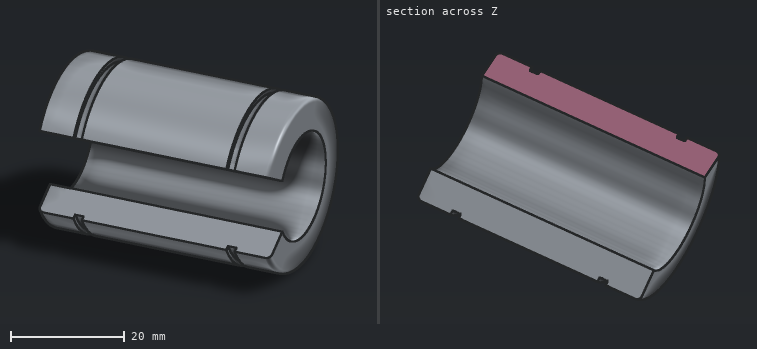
import cadquery as cq
import math

length = 45.0
outer_diameter = 32.0
bore_diameter = 20.0
edge_radius = 1.0

groove_span = 31.2
groove_width = 1.6
groove_diameter = 30.3

opening_angle = 60.0

outer_radius = outer_diameter / 2
bore_radius = bore_diameter / 2
groove_radius = groove_diameter / 2
groove_offset = (groove_span - groove_width) / 2


def rounded_sleeve():
    """Full tube with rounded outer end edges."""
    sleeve = cq.Workplane("YZ").circle(outer_radius).extrude(length / 2, both=True)
    sleeve = sleeve.edges().fillet(edge_radius)
    bore = cq.Workplane("YZ").circle(bore_radius).extrude(length / 2, both=True)
    return sleeve.cut(bore)


def ring_groove(center_x):
    """Annular cutter for one retaining ring groove."""
    ring_clearance = 1.0
    return (
        cq.Workplane("YZ", origin=(center_x - groove_width / 2, 0, 0))
        .circle(outer_radius + ring_clearance)
        .circle(groove_radius)
        .extrude(groove_width)
    )


def opening_cutter():
    """Wedge with its tip on the axis, spreading evenly about -Y."""
    wedge_depth = 2 * outer_radius
    wedge_half_width = wedge_depth * math.tan(math.radians(opening_angle / 2))
    return (
        cq.Workplane("YZ")
        .polyline([(0, 0), (-wedge_depth, wedge_half_width), (-wedge_depth, -wedge_half_width)])
        .close()
        .extrude(length / 2, both=True)
    )


result = rounded_sleeve()
for groove_x in (-groove_offset, groove_offset):
    result = result.cut(ring_groove(groove_x))
result = result.cut(opening_cutter())